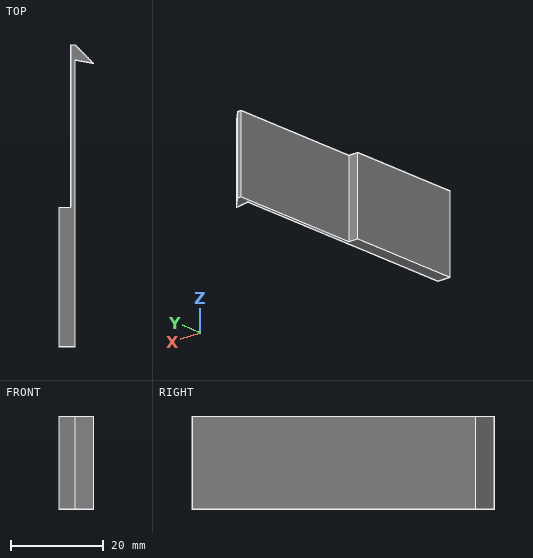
import cadquery as cq

length = 65.0
height = 20.0
total_width = 7.5
grip_length = 30.0
grip_thickness = 3.5
arm_thickness = 1.0
barb_tip_drop = 4.0
barb_root_drop = 3.3

arm_back = grip_thickness - arm_thickness

profile = [
    (0, 0),
    (grip_thickness, 0),
    (grip_thickness, length - barb_root_drop),
    (total_width, length - barb_tip_drop),
    (grip_thickness, length),
    (arm_back, length),
    (arm_back, grip_length),
    (0, grip_length),
]

result = cq.Workplane("XY").polyline(profile).close().extrude(height)